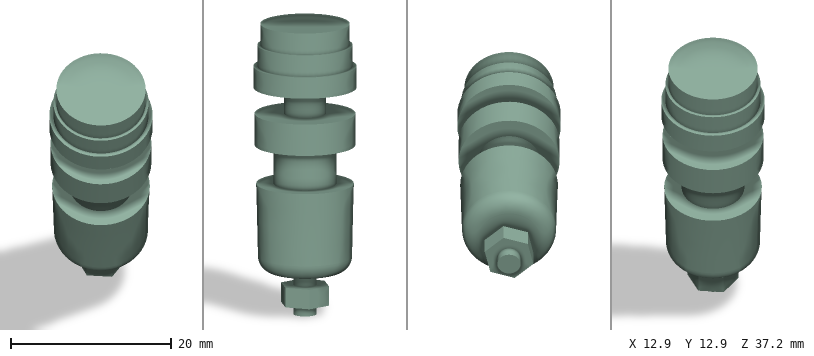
import cadquery as cq
import math

total_height = 37.2

tier_height = 2.7
tier_diameters = [12.9, 11.9, 11.15]
head_bottom = total_height - tier_height * len(tier_diameters)

neck_diameter = 5.3
collar_diameter = 12.6
collar_top = 25.7
collar_bottom = 21.7
shank_diameter = 7.85

cup_top = 16.75
cup_bottom = 5.43
cup_top_diameter = 12.2
cup_lower_diameter = 11.75
cup_rim_radius = 2.0

pin_diameter = 2.9
nut_across_flats = 5.5
nut_bottom = 1.3
nut_height = 2.5


def cylinder(diameter, bottom, top):
    """Round section on the Z axis between two heights."""
    return cq.Workplane("XY").workplane(offset=bottom).circle(diameter / 2).extrude(top - bottom)


def stepped_head():
    head = cq.Workplane("XY")
    for index, diameter in enumerate(tier_diameters):
        bottom = head_bottom + index * tier_height
        head = head.union(cylinder(diameter, bottom, bottom + tier_height))
    return head


def tapered_cup():
    """Revolved half profile in the XZ plane, with a quarter-round lower rim."""
    lower_radius = cup_lower_diameter / 2
    rim_center_x = lower_radius - cup_rim_radius
    rim_center_z = cup_bottom + cup_rim_radius
    arc_offset = cup_rim_radius * math.sqrt(0.5)
    return (
        cq.Workplane("XZ")
        .moveTo(0, cup_bottom)
        .lineTo(rim_center_x, cup_bottom)
        .threePointArc(
            (rim_center_x + arc_offset, rim_center_z - arc_offset),
            (lower_radius, rim_center_z),
        )
        .lineTo(cup_top_diameter / 2, cup_top)
        .lineTo(0, cup_top)
        .close()
        .revolve(360, (0, 0, 0), (0, 1, 0))
    )


def hex_nut():
    """Hexagon with two corners on the X axis."""
    across_corners = nut_across_flats / math.cos(math.pi / 6)
    return cq.Workplane("XY").workplane(offset=nut_bottom).polygon(6, across_corners).extrude(nut_height)


result = (
    stepped_head()
    .union(cylinder(neck_diameter, collar_top, head_bottom))
    .union(cylinder(collar_diameter, collar_bottom, collar_top))
    .union(cylinder(shank_diameter, cup_top, collar_bottom))
    .union(tapered_cup())
    .union(cylinder(pin_diameter, 0, cup_bottom))
    .union(hex_nut())
)